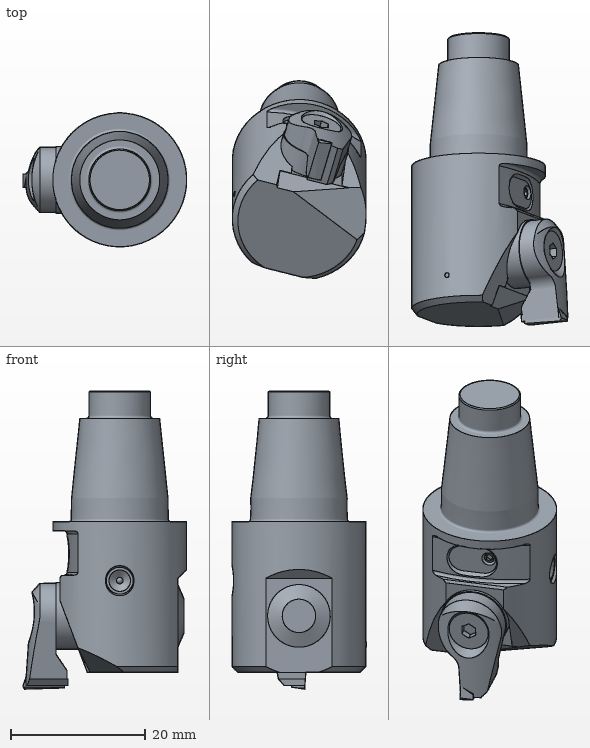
import cadquery as cq
import math

BODY_R = 20.0 / 2
BODY_BOTTOM = 2.55
BODY_TOP = 25.0
BODY_CHAMFER = 0.85
BIG = 44.5

SHANK_FOOT_R = 7.65
SHANK_FOOT_FILLET = 0.35
SHANK_BASE_R = 7.25
TAPER_START_Z = 28.5
TAPER_START_R = 7.2
TAPER_END_Z = 40.4
TAPER_END_R = 5.95
SPIGOT_R = 9.2 / 2
SPIGOT_FILLET = 0.4
SPIGOT_CHAMFER = 0.2
TOP_Z = 44.5

AXIS_Z = 10.95
BOSS_R = 10.0 / 2
BOSS_FACE_X = -9.5
END_FLAT_X = 8.68
END_FLAT_Z = 16.55
END_SLOPE_TOP_Z = 17.85
END_CONE_BASE_R = 4.67
END_CONE_TIP_R = 2.5
END_CONE_TIP_X = 9.6

POCKET_Z_MIN = 17.0
POCKET_Z_MAX = 23.65
POCKET_FILLET = 0.45
POCKET_FLOOR_X = -7.88
POCKET_FLOOR_R = 24.9
POCKET_FLOOR_Y = 1.1
OVAL_Y = 0.7
OVAL_Z = 20.2
OVAL_LENGTH = 8.25
OVAL_WIDTH = 5.07
OVAL_FLOOR_WIDTH = 4.2
OVAL_FLOOR_X = -7.35
SET_SCREW_Y = -1.75
SET_SCREW_Z = 20.65
SET_SCREW_D = 2.1
SET_SCREW_INNER_D = 1.5
SET_SCREW_CONE_DEPTH = 0.35
SET_SCREW_HEX = 1.0
SET_SCREW_DEPTH = 0.9

FLAT_X = -8.95
FLAT_CHAMFER_X = 0.25
FLAT_CHAMFER_Z = 0.4
SLOPE_BOTTOM_X = -4.85
SLOPE_ANGLE = 20.8
RAMP_BOTTOM_X = -4.4
RAMP_TOP_Z = 5.5
RAMP_Y = 4.6
RAMP_WALL_DRAFT = 32.0
RECESS_FACE_X = -5.9
RECESS_Y_MIN = -5.0
RECESS_Y_MAX = 2.85
RECESS_BOTTOM = 5.45
CORNER_POINT = (0.62, -9.12, BODY_BOTTOM)
CORNER_NORMAL = (-0.58, -0.26, -1.0)

NIPPLE_Z = 16.2
NIPPLE_RIM_D = 4.5
NIPPLE_FACE_D = 4.0
NIPPLE_CUP_D = 3.2
NIPPLE_BALL_D = 1.0
NIPPLE_FACE_Y = -9.52
NIPPLE_CUP_DEPTH = 0.9

LOCK_PIN_D = 0.7
LOCK_PIN_Z = 6.68
LOCK_PIN_HEIGHT = 0.1

HEAD_R = 9.75 / 2
HEAD_CONE_R = 3.55
HEAD_CONE_X = -13.1
HEAD_RIM_X = -11.93
FACE_R = 8.9
FACE_APEX_X = -13.35
FACE_SLOPE = 0.069
BLADE_BOTTOM = 0.55
BLADE_CORNER = (-3.05, 1.5)
BLADE_CHAMFER_Y = -2.2
BLADE_EDGE_TOP = (1.25, 4.9)
NECK_MIDDLE = (1.7, 6.15)
NECK_Y = 2.6
BACK_SWELL_TOP_Z = 5.2
BACK_SWELL = (-7.85, 2.75)
BACK_FOOT_X = -7.7
BACK_FOOT_Z = 1.55

TIP_TOP_Z = 2.15
TIP_ROOT_X = -13.9
TIP_POINT = (-14.45, 0.45)
TIP_TOE_X = -14.2
TIP_HEEL = (-8.25, 0.2)
TIP_Y_MIN = -1.1
TIP_Y_MAX = 0.9
TIP_LOW_SIDE_Z = (0.3, 1.1)

SCREW_HEAD_R = 6.0 / 2
SCREW_SHANK_R = 4.0 / 2
SCREW_FACE_X = -12.6
SCREW_END_X = -3.55
SCREW_HEX = 2.1
SCREW_HEX_DEPTH = 1.1


def x_cylinder(radius, x_start, x_end, y=0.0, z=AXIS_Z):
    """Cylinder along X between two X positions."""
    return cq.Workplane("YZ", origin=(x_start, y, z)).circle(radius).extrude(x_end - x_start)


def x_cone(r_start, x_start, r_end, x_end, y=0.0, z=AXIS_Z):
    """Cone frustum along X."""
    cone = cq.Solid.makeCone(r_start, r_end, x_end - x_start, cq.Vector(x_start, y, z), cq.Vector(1, 0, 0))
    return cq.Workplane(obj=cone)


def x_hexagon(flats, x_start, x_end, y=0.0, z=AXIS_Z):
    """Hexagonal prism along X with two corners on the vertical."""
    corners = flats / math.cos(math.pi / 6)
    plane = cq.Workplane("YZ", origin=(x_start, y, z)).transformed(rotate=(0, 0, 90))
    return plane.polygon(6, corners).extrude(x_end - x_start)


def block(x_range, y_range, z_range):
    """Box given by its limits."""
    limits = (x_range, y_range, z_range)
    sizes = [high - low for low, high in limits]
    centre = tuple((high + low) / 2 for low, high in limits)
    return cq.Workplane("XY").box(*sizes).translate(centre)


def xz_prism(points, y_min, y_max):
    """Outline in X and Z, extruded between two Y positions."""
    return cq.Workplane("XZ", origin=(0, y_max, 0)).polyline(points).close().extrude(y_max - y_min)


def turned_blank():
    """Housing cylinder, tapered shank and top spigot as one revolved outline."""
    foot_z = BODY_TOP + SHANK_FOOT_FILLET
    spigot_z = TAPER_END_Z + SPIGOT_FILLET
    outline = (
        cq.Workplane("XZ")
        .moveTo(0, BODY_BOTTOM)
        .lineTo(BODY_R - BODY_CHAMFER, BODY_BOTTOM)
        .lineTo(BODY_R, BODY_BOTTOM + BODY_CHAMFER)
        .lineTo(BODY_R, BODY_TOP)
        .lineTo(SHANK_FOOT_R, BODY_TOP)
        .radiusArc((SHANK_BASE_R, foot_z), SHANK_FOOT_FILLET)
        .lineTo(TAPER_START_R, TAPER_START_Z)
        .lineTo(TAPER_END_R, TAPER_END_Z)
        .lineTo(SPIGOT_R + SPIGOT_FILLET, TAPER_END_Z)
        .radiusArc((SPIGOT_R, spigot_z), SPIGOT_FILLET)
        .lineTo(SPIGOT_R, TOP_Z - SPIGOT_CHAMFER)
        .lineTo(SPIGOT_R - SPIGOT_CHAMFER, TOP_Z)
        .lineTo(0, TOP_Z)
        .close()
    )
    return outline.revolve(360, (0, 0, 0), (0, 1, 0))


def window_pocket():
    """Cutter for the pocket with a large-radius floor and filleted floor edges."""
    ring_centre_x = POCKET_FLOOR_X + POCKET_FLOOR_R
    flange_r = POCKET_FLOOR_R + POCKET_FILLET
    core = (
        cq.Workplane("XZ", origin=(ring_centre_x, POCKET_FLOOR_Y, 0))
        .moveTo(0, POCKET_Z_MIN)
        .lineTo(flange_r, POCKET_Z_MIN)
        .radiusArc((POCKET_FLOOR_R, POCKET_Z_MIN + POCKET_FILLET), POCKET_FILLET)
        .lineTo(POCKET_FLOOR_R, POCKET_Z_MAX - POCKET_FILLET)
        .radiusArc((flange_r, POCKET_Z_MAX), POCKET_FILLET)
        .lineTo(0, POCKET_Z_MAX)
        .close()
        .revolve(360, (0, 0, 0), (0, 1, 0))
    )
    region = block((-BIG, 0), (-BODY_R, BODY_R), (POCKET_Z_MIN, POCKET_Z_MAX))
    return region.cut(core)


def oval_window():
    """Cutter for the oval recess with tapered walls in the pocket floor."""
    depth = OVAL_FLOOR_X - POCKET_FLOOR_X
    flare = (OVAL_WIDTH - OVAL_FLOOR_WIDTH) / 2
    floor_length = OVAL_LENGTH - 2 * flare
    return (
        cq.Workplane("YZ", origin=(OVAL_FLOOR_X, OVAL_Y, OVAL_Z))
        .slot2D(floor_length, OVAL_FLOOR_WIDTH)
        .extrude(-depth, taper=-math.degrees(math.atan(flare / depth)))
    )


def set_screw_socket():
    """Cutter for the small set screw in the oval recess."""
    cone_end = OVAL_FLOOR_X + SET_SCREW_CONE_DEPTH
    cone = x_cone(
        SET_SCREW_D / 2, OVAL_FLOOR_X, SET_SCREW_INNER_D / 2, cone_end, SET_SCREW_Y, SET_SCREW_Z
    )
    socket_end = OVAL_FLOOR_X + SET_SCREW_DEPTH
    return cone.union(x_hexagon(SET_SCREW_HEX, OVAL_FLOOR_X, socket_end, SET_SCREW_Y, SET_SCREW_Z))


def front_flat():
    """Cutter for the -X flat, its top chamfer and the sloped relief below."""
    slope = math.tan(math.radians(SLOPE_ANGLE))
    slope_top_z = BODY_BOTTOM + (SLOPE_BOTTOM_X - FLAT_X) / slope
    outline = [
        (-BIG, POCKET_Z_MIN),
        (FLAT_X + FLAT_CHAMFER_X, POCKET_Z_MIN),
        (FLAT_X, POCKET_Z_MIN - FLAT_CHAMFER_Z),
        (FLAT_X, slope_top_z),
        (SLOPE_BOTTOM_X, BODY_BOTTOM),
        (-BIG, BODY_BOTTOM),
    ]
    return xz_prism(outline, -BIG, BIG)


def ramp_and_recess():
    """Cutter for the steep ramp with a drafted side wall below the boss, and the upright recess above it."""
    run = RAMP_BOTTOM_X - RECESS_FACE_X
    drop = RAMP_TOP_Z - BODY_BOTTOM
    plane = cq.Plane(origin=(RECESS_FACE_X, RAMP_Y, RAMP_TOP_Z), xDir=(0, -1, 0), normal=(-drop, 0, -run))
    ramp = (
        cq.Workplane(plane)
        .rect(BIG, -BIG, centered=False)
        .extrude(BODY_R, taper=-RAMP_WALL_DRAFT)
    )
    recess = block((-BIG, RECESS_FACE_X), (RECESS_Y_MIN, RECESS_Y_MAX), (RECESS_BOTTOM, AXIS_Z))
    return ramp.union(recess)


def corner_cut():
    """Cutter for the oblique face across the lower -X, -Y corner."""
    plane = cq.Plane(origin=CORNER_POINT, normal=CORNER_NORMAL)
    return cq.Workplane(plane).rect(BIG, BIG).extrude(BIG)


def end_flat():
    """Cutter for the +X flat with its sloped run-out."""
    run_out_x = END_FLAT_X + END_SLOPE_TOP_Z - END_FLAT_Z
    outline = [
        (END_FLAT_X, BODY_BOTTOM),
        (END_FLAT_X, END_FLAT_Z),
        (run_out_x, END_SLOPE_TOP_Z),
        (BIG, END_SLOPE_TOP_Z),
        (BIG, BODY_BOTTOM),
    ]
    return xz_prism(outline, -BIG, BIG)


def nipple_recess():
    """Cutter for the grease nipple: rim chamfer, face, conical cup with a ball at the bottom."""
    cup_bottom_y = NIPPLE_FACE_Y + NIPPLE_CUP_DEPTH
    ball_r = NIPPLE_BALL_D / 2
    recess = (
        cq.Workplane("XY")
        .moveTo(0, -BODY_R)
        .lineTo(NIPPLE_RIM_D / 2, -BODY_R)
        .lineTo(NIPPLE_FACE_D / 2, NIPPLE_FACE_Y)
        .lineTo(NIPPLE_CUP_D / 2, NIPPLE_FACE_Y)
        .lineTo(ball_r, cup_bottom_y)
        .lineTo(0, cup_bottom_y)
        .close()
        .revolve(360, (0, 0, 0), (0, 1, 0))
    )
    ball = cq.Workplane("XY", origin=(0, cup_bottom_y, 0)).sphere(ball_r)
    return recess.cut(ball).translate((0, 0, NIPPLE_Z))


def make_housing():
    body = turned_blank()
    for cutter in (window_pocket(), oval_window(), set_screw_socket(), front_flat()):
        body = body.cut(cutter)
    for cutter in (ramp_and_recess(), corner_cut(), end_flat(), nipple_recess()):
        body = body.cut(cutter)
    boss = x_cylinder(BOSS_R, BOSS_FACE_X, 0)
    end_cone = x_cone(END_CONE_BASE_R, END_FLAT_X, END_CONE_TIP_R, END_CONE_TIP_X)
    lock_pin = (
        cq.Workplane("XZ", origin=(0, BODY_R + LOCK_PIN_HEIGHT, LOCK_PIN_Z))
        .circle(LOCK_PIN_D / 2)
        .extrude(BODY_R / 2)
    )
    body = body.union(boss).union(end_cone).union(lock_pin)
    return body.cut(x_cylinder(SCREW_SHANK_R, BOSS_FACE_X, SCREW_END_X))


def holder_outline():
    """Outline across Y and Z: round head with the narrowing blade, extruded along X."""
    corner_y, corner_z = BLADE_CORNER
    distance = math.hypot(corner_y, corner_z - AXIS_Z)
    towards_corner = math.atan2(corner_z - AXIS_Z, corner_y)
    tangent_angle = towards_corner - math.acos(HEAD_R / distance)
    tangent = (HEAD_R * math.cos(tangent_angle), AXIS_Z + HEAD_R * math.sin(tangent_angle))
    neck = (NECK_Y, AXIS_Z - math.sqrt(HEAD_R**2 - NECK_Y**2))
    return (
        cq.Workplane("YZ", origin=(-BIG, 0, 0))
        .moveTo(*neck)
        .threePointArc((0, AXIS_Z + HEAD_R), tangent)
        .lineTo(corner_y, corner_z)
        .lineTo(BLADE_CHAMFER_Y, BLADE_BOTTOM)
        .lineTo(TIP_Y_MAX, BLADE_BOTTOM)
        .lineTo(*BLADE_EDGE_TOP)
        .threePointArc(NECK_MIDDLE, neck)
        .close()
        .extrude(BIG)
    )


def holder_side():
    """Outline across X and Z: upright back that swells towards the tip."""
    outline = [
        (-BIG, BIG),
        (BOSS_FACE_X, BIG),
        (BOSS_FACE_X, BACK_SWELL_TOP_Z),
        BACK_SWELL,
        (BACK_SWELL[0], BACK_FOOT_Z),
        (BACK_FOOT_X, BACK_FOOT_Z),
        (BACK_FOOT_X, BLADE_BOTTOM),
        (-BIG, BLADE_BOTTOM),
    ]
    return xz_prism(outline, -BIG, BIG)


def holder_front():
    """Inclined cylinder whose -X side forms the rounded front face."""
    incline = math.degrees(math.atan(FACE_SLOPE))
    return (
        cq.Workplane("XY")
        .circle(FACE_R)
        .extrude(BIG, both=True)
        .rotate((0, 0, 0), (0, 1, 0), incline)
        .translate((FACE_APEX_X + FACE_R / math.cos(math.radians(incline)), 0, AXIS_Z))
    )


def head_chamfer():
    """Cutter for the conical edge on the upper half of the round head."""
    slope = (HEAD_RIM_X - HEAD_CONE_X) / (HEAD_R - HEAD_CONE_R)
    tip_x = HEAD_CONE_X - HEAD_CONE_R * slope
    upper_half = block((tip_x, HEAD_RIM_X), (-BOSS_R, BOSS_R), (AXIS_Z, AXIS_Z + BOSS_R))
    return upper_half.cut(x_cone(0, tip_x, HEAD_R, HEAD_RIM_X))


def cutting_tip():
    """Small cutting edge at the lower +Y corner of the blade."""
    low_z, high_z = TIP_LOW_SIDE_Z
    side_outline = [
        (TIP_ROOT_X, TIP_TOP_Z),
        TIP_POINT,
        (TIP_TOE_X, 0),
        TIP_HEEL,
        (TIP_HEEL[0], TIP_TOP_Z),
    ]
    face_outline = [(TIP_Y_MAX, TIP_TOP_Z), (TIP_Y_MAX, 0), (TIP_Y_MIN, low_z), (TIP_Y_MIN, high_z)]
    side = xz_prism(side_outline, TIP_Y_MIN, TIP_Y_MAX)
    face = cq.Workplane("YZ", origin=(-BIG, 0, 0)).polyline(face_outline).close().extrude(BIG)
    return side.intersect(face)


def screw_hole():
    """Cutter for the clearance hole and its 90 degree countersink."""
    depth = SCREW_HEAD_R - SCREW_SHANK_R
    hole = x_cylinder(SCREW_SHANK_R, SCREW_FACE_X, BOSS_FACE_X)
    mouth_x = SCREW_FACE_X - HEAD_R
    sink = x_cone(SCREW_HEAD_R + HEAD_R, mouth_x, SCREW_SHANK_R, SCREW_FACE_X + depth)
    return hole.union(sink)


def make_holder():
    body = holder_outline().intersect(holder_side()).intersect(holder_front())
    return body.cut(head_chamfer()).union(cutting_tip()).cut(screw_hole())


def make_screw():
    neck_x = SCREW_FACE_X + SCREW_HEAD_R - SCREW_SHANK_R
    head = x_cone(SCREW_HEAD_R, SCREW_FACE_X, SCREW_SHANK_R, neck_x)
    shank = x_cylinder(SCREW_SHANK_R, neck_x, SCREW_END_X)
    return head.union(shank).cut(x_hexagon(SCREW_HEX, SCREW_FACE_X, SCREW_FACE_X + SCREW_HEX_DEPTH))


housing = make_housing().solids()
holder = make_holder().solids()
screw = make_screw().solids()

result = cq.Compound.makeCompound([housing.val(), holder.val(), screw.val()])